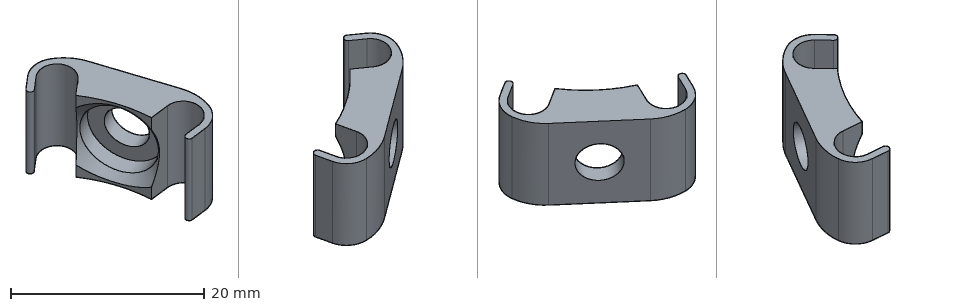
import cadquery as cq
import math

length = 20.35
depth = 6.82
height = 11.42

tube_radius = 2.18
wall = 0.88
opening_angle = math.radians(18.5)
tube_y = -3.69
shoulder_radius = 6.1

block_half_width = 4.28
block_mid_y = -4.83

hole_radius = 2.55
seat_radius = 4.44
seat_floor_y = -1.95
flare_start_y = -3.93
flare_length = 2.04

outer_radius = tube_radius + wall
tube_x = length / 2 - outer_radius
tip_radius = wall / 2
tip_y = tip_radius - depth
cos_a = math.cos(opening_angle)
sin_a = math.sin(opening_angle)

shoulder_y = -shoulder_radius
shoulder_gap = shoulder_radius - outer_radius
shoulder_offset = math.sqrt(shoulder_gap**2 - (tube_y - shoulder_y) ** 2)
shoulder_x = tube_x - shoulder_offset
shoulder_angle = math.atan2(tube_y - shoulder_y, shoulder_offset)

lip_radius = tube_radius + tip_radius
lip_drop = tube_y - lip_radius * sin_a - tip_y
tip_x = tube_x + lip_radius * cos_a - lip_drop * math.tan(opening_angle)

flank_x = tube_x - tube_radius * cos_a
flank_y = tube_y + tube_radius * sin_a
block_corner_y = flank_y - (flank_x - block_half_width) / math.tan(opening_angle)


def polar(x, y, radius, angle):
    """Point at the given radius and angle around (x, y)."""
    return (x + radius * math.cos(angle), y + radius * math.sin(angle))


def half_profile():
    """Half of the section at +X, closed along the center plane."""
    back_mid_angle = (math.pi / 2 + shoulder_angle) / 2
    side_mid_angle = (shoulder_angle - opening_angle) / 2
    shoulder_mid = polar(shoulder_x, shoulder_y, shoulder_radius, back_mid_angle)
    shoulder_end = polar(tube_x, tube_y, outer_radius, shoulder_angle)
    outer_mid = polar(tube_x, tube_y, outer_radius, side_mid_angle)
    outer_end = polar(tube_x, tube_y, outer_radius, -opening_angle)
    tip_outer = polar(tip_x, tip_y, tip_radius, -opening_angle)
    tip_end = polar(tip_x, tip_y, tip_radius, -opening_angle - math.pi / 2)
    tip_inner = polar(tip_x, tip_y, tip_radius, math.pi - opening_angle)
    bore_start = polar(tube_x, tube_y, tube_radius, -opening_angle)
    bore_top = (tube_x, tube_y + tube_radius)

    rise = block_mid_y - block_corner_y
    face_radius = (block_half_width**2 + rise**2) / (2 * rise)
    face_mid_x = block_half_width / 2
    face_mid_y = block_mid_y - face_radius + math.sqrt(face_radius**2 - face_mid_x**2)

    return (
        cq.Workplane("XY")
        .lineTo(shoulder_x, 0)
        .threePointArc(shoulder_mid, shoulder_end)
        .threePointArc(outer_mid, outer_end)
        .lineTo(*tip_outer)
        .threePointArc(tip_end, tip_inner)
        .lineTo(*bore_start)
        .threePointArc(bore_top, (flank_x, flank_y))
        .lineTo(block_half_width, block_corner_y)
        .threePointArc((face_mid_x, face_mid_y), (0, block_mid_y))
        .close()
    )


def screw_seat():
    """Through hole, counterbore and flare, revolved about the Y axis."""
    flare_end_y = flare_start_y - flare_length
    return (
        cq.Workplane("XY")
        .lineTo(hole_radius, 0)
        .lineTo(hole_radius, seat_floor_y)
        .lineTo(seat_radius, seat_floor_y)
        .lineTo(seat_radius, flare_start_y)
        .lineTo(seat_radius + flare_length, flare_end_y)
        .lineTo(0, flare_end_y)
        .close()
        .revolve(360, (0, 0, 0), (0, 1, 0))
    )


half_body = half_profile().extrude(height / 2, both=True)
body = half_body.union(half_body.mirror("YZ")).clean()
result = body.cut(screw_seat())